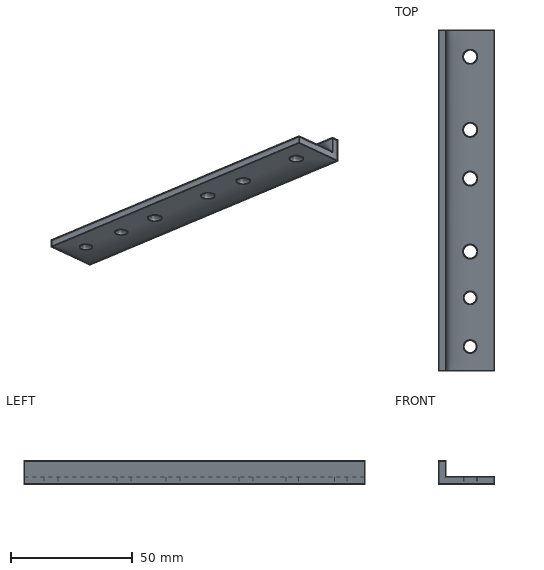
import cadquery as cq

width = 23.0
length = 140.0
height = 9.5
thickness = 3.0

hole_x = thickness + (width - thickness) / 2
large_diameter = 5.7
small_diameter = 5.2

small_hole_distances = [10.0, 30.0]
large_group_start = 49.0
large_hole_offsets = [0.0, 30.0, 50.0, 80.0]
large_hole_distances = [large_group_start + offset for offset in large_hole_offsets]


def angle_strip():
    """L-shaped strip with its outer corner at the origin, running along +Y."""
    base = cq.Workplane("XY").box(width, length, thickness, centered=False)
    flange = cq.Workplane("XY").box(thickness, length, height, centered=False)
    return base.union(flange)


def through_holes(distances, diameter):
    """Vertical cylinders that cut the base plate at the given distances along Y."""
    centres = [(hole_x, distance) for distance in distances]
    return cq.Workplane("XY").pushPoints(centres).circle(diameter / 2).extrude(thickness)


result = (
    angle_strip()
    .cut(through_holes(small_hole_distances, small_diameter))
    .cut(through_holes(large_hole_distances, large_diameter))
)